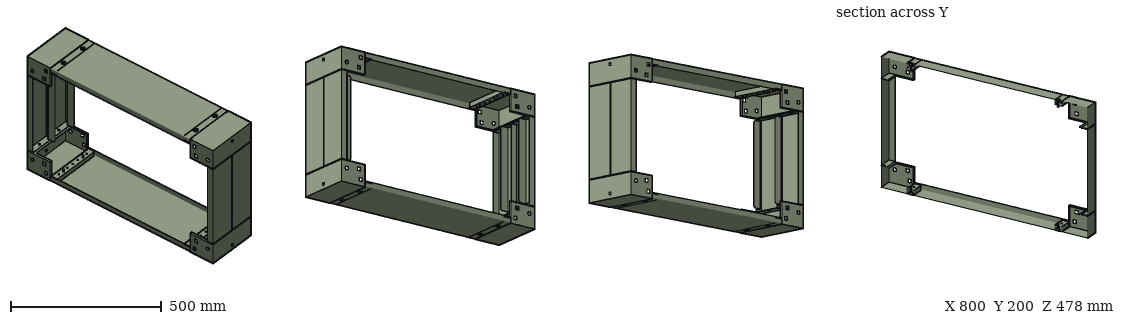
import cadquery as cq

LENGTH = 800.0
DEPTH = 200.0
HEIGHT = 475.0
FULL_HEIGHT = 478.0

SHEET = 2.0

CORNER_LENGTH = 100.0
CORNER_HEIGHT = 80.0
CORNER_LIP = 10.0
CORNER_WALL_LIP = 33.0
ROUND_HOLE_PLACE = (23.0, 51.0)
ROUND_HOLE_DIAMETER = 13.0
SQUARE_HOLE_PLACES = [(74.0, 59.0), (81.0, 23.0)]
SQUARE_HOLE_SIDE = 12.0
END_RECESS_DIAMETER = 10.0
END_RECESS_DEPTH = 1.0
END_RECESS_HEIGHT = 19.0

LONG_PANEL_LENGTH = LENGTH - 2 * CORNER_LENGTH
LONG_PANEL_HEIGHT = 22.0
BEND_RADIUS = 3.0
PANEL_SHEET = 1.8

LEDGE_HEIGHT = 20.0
LEDGE_WIDTH = 28.0
LEDGE_GAP = 2.0
WEB_GAP = 7.0
LEDGE_HOLE_DIAMETER = 5.0
LEDGE_HOLE_PLACES = [-72.0, -27.0, 0.0, 27.0, 72.0]

STUD_DIAMETER = 6.0
COLLAR_DIAMETER = 12.0
COLLAR_HEIGHT = 8.0
STUD_INSET = 16.0
STUD_SPACING = 100.0
STUD_STICKOUT = (FULL_HEIGHT - HEIGHT) / 2
STUD_INNER_END = 27.0
STUD_CLEARANCE_DIAMETER = 17.0

SIDE_PANEL_WIDTH = DEPTH / 2
SIDE_PANEL_HEIGHT = HEIGHT - 2 * CORNER_HEIGHT
SIDE_FLANGE = 25.0
SIDE_FLANGE_HOLE_DIAMETER = 7.0
RAIL_OFFSET = 20.0
RAIL_REACH = 54.0
RAIL_END_GAP = 10.0
RAIL_CHAMFER = 6.0


def block(x_range, y_range, z_range):
    """Box between the given limits."""
    (x0, x1), (y0, y1), (z0, z1) = x_range, y_range, z_range
    return cq.Workplane("XY").box(x1 - x0, y1 - y0, z1 - z0, centered=False).translate((x0, y0, z0))


def upright_cylinder(diameter, x, y, z_range):
    """Cylinder along Z."""
    z0, z1 = z_range
    return cq.Workplane("XY", origin=(x, y, z0)).circle(diameter / 2).extrude(z1 - z0)


def mirrored_copies(bodies, plane):
    """The bodies followed by their mirror images in a plane through the origin."""
    return bodies + [body.mirror(plane) for body in bodies]


def make_corner():
    """Lower corner box at the -X end, open towards the middle of the frame and upwards."""
    x0 = -LENGTH / 2
    x1 = x0 + CORNER_LENGTH
    z0 = -HEIGHT / 2
    z1 = z0 + CORNER_HEIGHT
    half = DEPTH / 2
    inner = (SHEET - half, half - SHEET)
    opening = (CORNER_LIP - half, half - CORNER_LIP)

    corner = block((x0, x1), (-half, half), (z0, z1))
    corner = corner.cut(block((x0 + SHEET, x1 - SHEET), inner, (z0 + SHEET, z1 - SHEET)))
    corner = corner.cut(block((x0 + CORNER_WALL_LIP, x1), opening, (z0 + SHEET, z1)))

    side_plane = cq.Workplane("XZ", origin=(x0, half, z0))
    round_hole = side_plane.center(*ROUND_HOLE_PLACE).circle(ROUND_HOLE_DIAMETER / 2)
    corner = corner.cut(round_hole.extrude(DEPTH))
    square_holes = side_plane.pushPoints(SQUARE_HOLE_PLACES).rect(SQUARE_HOLE_SIDE, SQUARE_HOLE_SIDE)
    corner = corner.cut(square_holes.extrude(DEPTH))

    end_plane = cq.Workplane("YZ", origin=(x0, 0, z0 + END_RECESS_HEIGHT))
    return corner.cut(end_plane.circle(END_RECESS_DIAMETER / 2).extrude(END_RECESS_DEPTH))


def make_ledge():
    """Folded-over end of the bottom panel at its -X end, with its studs and holes."""
    x0 = -LONG_PANEL_LENGTH / 2
    x1 = x0 + LEDGE_WIDTH
    z0 = -HEIGHT / 2
    z1 = z0 + LEDGE_HEIGHT
    ledge_y = (LEDGE_GAP - DEPTH / 2, DEPTH / 2 - LEDGE_GAP)
    web_y = (WEB_GAP - DEPTH / 2, DEPTH / 2 - WEB_GAP)

    ledge = block((x0, x1), ledge_y, (z1 - PANEL_SHEET, z1))
    ledge = ledge.union(block((x0, x0 + PANEL_SHEET), web_y, (z0 + PANEL_SHEET, z1)))
    ledge = ledge.union(block((x1 - PANEL_SHEET, x1), web_y, (z0 + PANEL_SHEET, z1)))
    hole_x = x0 + LEDGE_WIDTH / 2
    for y in LEDGE_HOLE_PLACES:
        ledge = ledge.cut(upright_cylinder(LEDGE_HOLE_DIAMETER, hole_x, y, (z1 - PANEL_SHEET, z1)))
    for y in (-STUD_SPACING / 2, STUD_SPACING / 2):
        stud_range = (z0 - STUD_STICKOUT, z0 + STUD_INNER_END)
        ledge = ledge.union(upright_cylinder(STUD_DIAMETER, x0 + STUD_INSET, y, stud_range))
        ledge = ledge.union(upright_cylinder(COLLAR_DIAMETER, x0 + STUD_INSET, y, (z0, z0 + COLLAR_HEIGHT)))
    return ledge


def make_long_panel():
    """Bottom panel: a shallow tray with rounded bends and a ledge at each end."""
    half_length = LONG_PANEL_LENGTH / 2
    half = DEPTH / 2
    z0 = -HEIGHT / 2
    z1 = z0 + LONG_PANEL_HEIGHT

    panel = block((-half_length, half_length), (-half, half), (z0, z1))
    panel = panel.faces("<Z").edges("|X").fillet(BEND_RADIUS)
    inner = (PANEL_SHEET - half, half - PANEL_SHEET)
    cavity = block((-half_length, half_length), inner, (z0 + PANEL_SHEET, z1))
    cavity = cavity.faces("<Z").edges("|X").fillet(BEND_RADIUS - PANEL_SHEET)
    panel = panel.cut(cavity)

    for x in (STUD_INSET - half_length, half_length - STUD_INSET):
        for y in (-STUD_SPACING / 2, STUD_SPACING / 2):
            panel = panel.cut(upright_cylinder(STUD_CLEARANCE_DIAMETER, x, y, (z0, z0 + PANEL_SHEET)))
    ledge = make_ledge()
    return panel.union(ledge).union(ledge.mirror("YZ"))


def make_side_panel(y0):
    """Side panel at the -X end, from y0 towards +Y: a flanged tray with a rail along its +Y side."""
    x0 = -LENGTH / 2
    x1 = x0 + SIDE_FLANGE
    y1 = y0 + SIDE_PANEL_WIDTH
    half_height = SIDE_PANEL_HEIGHT / 2
    z_range = (-half_height, half_height)

    panel = block((x0, x1), (y0, y1), z_range)
    inner_z = (SHEET - half_height, half_height - SHEET)
    panel = panel.cut(block((x0 + SHEET, x1), (y0 + SHEET, y1 - SHEET), inner_z))
    flange_x = x0 + SIDE_FLANGE / 2
    flange_y = y0 + SIDE_PANEL_WIDTH / 2
    panel = panel.cut(upright_cylinder(SIDE_FLANGE_HOLE_DIAMETER, flange_x, flange_y, z_range))

    rail_z = (RAIL_END_GAP - half_height, half_height - RAIL_END_GAP)
    rail_y = y1 - RAIL_OFFSET
    rail_web = block((x1 - SHEET, x1), (rail_y, y1), rail_z)
    rail = block((x1 - SHEET, x0 + RAIL_REACH), (rail_y, rail_y + SHEET), rail_z)
    rail = rail.faces(">X").edges("|Y").chamfer(RAIL_CHAMFER)
    return panel.union(rail_web).union(rail)


lower_corners = mirrored_copies([make_corner()], "YZ")
corners = mirrored_copies(lower_corners, "XY")
long_panels = mirrored_copies([make_long_panel()], "XY")
left_side_panels = [make_side_panel(y0) for y0 in (-SIDE_PANEL_WIDTH, 0)]
side_panels = mirrored_copies(left_side_panels, "YZ")

result = cq.Compound.makeCompound([body.val() for body in corners + long_panels + side_panels])